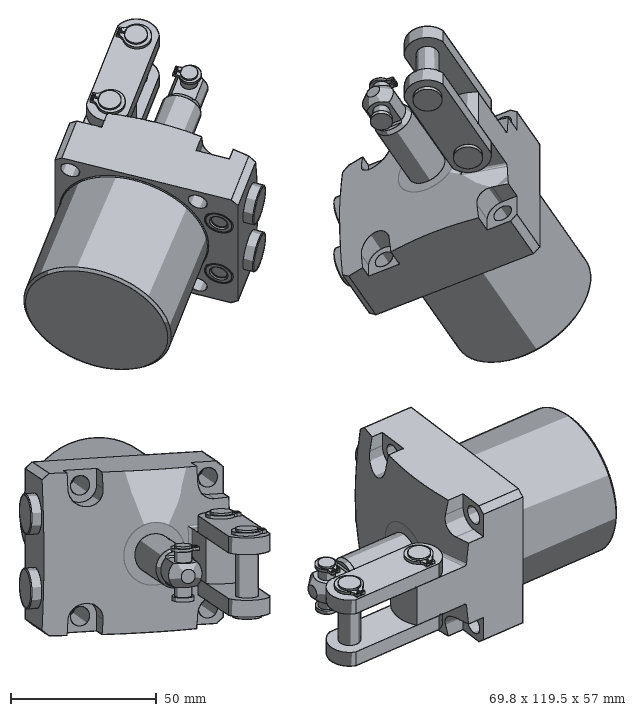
import cadquery as cq
import math


block_height = 57.0
block_width = 66.0
block_left = -block_height / 2
block_right = block_left + block_width
corner_cut_x = 2.5
corner_cut_z = 2.2
nose_top = 29.3
nose_flat_radius = 11.0
nose_angle = 15
barrel_radius = 26.5
barrel_chamfer = 1.0
barrel_root_chamfer = 0.4

bolt_offset = 23.0
bolt_hole_diameter = 6.8
spot_face_radius = 6.0
spot_face_level = 17.0

plug_radius = 7.0
plug_length = 3.8
plug_chamfer = 0.4
plug_y = 12.4
plug_z = 13.0

port_x = 30.5
port_z = 14.0
port_radius = 5.1
port_depth = 0.8
seal_bore_radius = 2.9
seal_chamfer = 0.5

ear_thickness = 16.0
ear_end = 47.8
ear_end_rise = 2.2
ear_root_fillet = 1.0
root_zone_margin = 0.1
link_x = -21.0
link_width = 2 * (link_x - block_left)
link_end_radius = 8.0
plate_thickness = 5.9
plate_outer = ear_thickness / 2 + plate_thickness
lower_pin_y = 39.0
pin_spacing = 30.0
upper_pin_y = lower_pin_y + pin_spacing
link_pin_radius = 4.0
link_head_radius = 5.0

overall_length = 119.5
barrel_length = overall_length - (upper_pin_y + link_end_radius)

rod_radius = 7.0
rod_shoulder = 54.1
neck_radius = 6.0
neck_start = 56.3
rod_tip = 69.0
tip_chamfer = 3.5
flat_half_thickness = 4.2
flat_start = 55.7
flat_root_chamfer = 0.6
rod_pin_y = 62.9
rod_pin_radius = 3.0
rod_head_radius = 3.8
rod_pin_grip = ear_thickness / 2

head_thickness = 1.4
pin_overhang = 1.8
clip_thickness = 1.1
clip_gap = 0.6
clip_neck_angle = 30
lug_reach = 1.9
lug_root_gap = 0.5
clip_offset = 0.4
lug_half_width = 1.8
lug_hole_diameter = 0.7


def along_y(start):
    """Work plane facing +Y at the given Y, with local x = X and local y = -Z."""
    return cq.Workplane("XZ", origin=(0, start, 0)).transformed(rotate=(180, 0, 0))


def along_z(start):
    return cq.Workplane("XY", origin=(0, 0, start))


def box(x_range, y_range, z_range):
    sizes = [end - start for start, end in (x_range, y_range, z_range)]
    corner = (x_range[0], y_range[0], z_range[0])
    return cq.Workplane("XY").box(*sizes, centered=False).translate(corner)


def turned_about_y(profile):
    """Solid of revolution about the Y axis from (radius, y) points."""
    return cq.Workplane("XY").polyline(profile).close().revolve(360, (0, 0), (0, 1))


def flange_block():
    half = block_height / 2
    outline = [
        (block_left, -half + corner_cut_z),
        (block_left + corner_cut_x, -half),
        (block_right - corner_cut_x, -half),
        (block_right, -half + corner_cut_z),
        (block_right, half - corner_cut_z),
        (block_right - corner_cut_x, half),
        (block_left + corner_cut_x, half),
        (block_left, half - corner_cut_z),
    ]
    return along_y(0).polyline(outline).close().extrude(nose_top)


def nose_cone():
    base_radius = nose_flat_radius + nose_top / math.tan(math.radians(nose_angle))
    return turned_about_y([(0, 0), (base_radius, 0), (nose_flat_radius, nose_top), (0, nose_top)])


def ear():
    right = block_left + link_width
    shoulder = ear_end - ear_end_rise
    outline = along_z(-ear_thickness / 2).moveTo(block_left, 0).lineTo(right, 0).lineTo(right, shoulder)
    outline = outline.threePointArc((link_x, ear_end), (block_left, shoulder)).close()
    return outline.extrude(ear_thickness)


def bolt_pattern(start):
    spacing = 2 * bolt_offset
    return along_y(start).rect(spacing, spacing, forConstruction=True).vertices()


def spot_faces():
    """Cutters around the bolt holes: all run out in Z, the two at the left corners also in X."""
    inner = bolt_offset - spot_face_radius
    outer = bolt_offset + spot_face_radius
    edge = block_height / 2
    levels = (spot_face_level, nose_top)
    cutters = bolt_pattern(spot_face_level).circle(spot_face_radius).extrude(nose_top - spot_face_level)
    for side in (-1, 1):
        to_z_edge = sorted((side * bolt_offset, side * edge))
        from_inner_to_z_edge = sorted((side * inner, side * edge))
        cutters = cutters.union(box((inner, outer), levels, to_z_edge))
        cutters = cutters.union(box((block_left, -inner), levels, to_z_edge))
        cutters = cutters.union(box((block_left, -bolt_offset), levels, from_inner_to_z_edge))
    return cutters


def fillet_ear_root(body):
    """Round the corner where the ear rises out of the nose cone."""
    half = ear_thickness / 2
    right = block_left + link_width
    root_zone = cq.selectors.BoxSelector(
        (block_left - root_zone_margin, spot_face_level, -half - root_zone_margin),
        (right + root_zone_margin, nose_top + root_zone_margin, half + root_zone_margin),
    )
    return body.edges(root_zone).fillet(ear_root_fillet)


def barrel():
    return turned_about_y([
        (0, 0),
        (barrel_radius + barrel_root_chamfer, 0),
        (barrel_radius, -barrel_root_chamfer),
        (barrel_radius, -barrel_length + barrel_chamfer),
        (barrel_radius - barrel_chamfer, -barrel_length),
        (0, -barrel_length),
    ])


def plugs():
    plane = cq.Workplane("YZ", origin=(block_right, 0, 0))
    studs = plane.pushPoints([(plug_y, -plug_z), (plug_y, plug_z)]).circle(plug_radius).extrude(plug_length)
    return studs.faces(">X").edges().chamfer(plug_chamfer)


def port_centres():
    return along_y(0).pushPoints([(port_x, -port_z), (port_x, port_z)])


def make_housing():
    body = fillet_ear_root(flange_block().intersect(nose_cone()).union(ear()))
    body = body.cut(spot_faces())
    body = body.cut(bolt_pattern(0).circle(bolt_hole_diameter / 2).extrude(nose_top))
    body = body.union(barrel()).union(plugs())
    body = body.cut(port_centres().circle(port_radius).extrude(port_depth))
    pin_hole = along_z(-ear_thickness / 2).center(link_x, lower_pin_y)
    return body.cut(pin_hole.circle(link_pin_radius).extrude(ear_thickness))


def make_seal_rings():
    rings = port_centres().circle(port_radius).extrude(port_depth)
    rings = rings.cut(port_centres().circle(seal_bore_radius).extrude(port_depth))
    return rings.faces("<Y").edges().chamfer(seal_chamfer)


def clip(outer_radius):
    """Retaining clip standing on Z = 0 around the Z axis, with its gap and two drilled lugs toward -X."""
    lug_root = -outer_radius - lug_root_gap
    lug_end = -outer_radius - lug_reach
    neck_x = -outer_radius * math.cos(math.radians(clip_neck_angle))
    neck_y = outer_radius * math.sin(math.radians(clip_neck_angle))
    lug_outline = [
        (0, -neck_y),
        (0, neck_y),
        (neck_x, neck_y),
        (lug_root, lug_half_width),
        (lug_end, lug_half_width),
        (lug_end, -lug_half_width),
        (lug_root, -lug_half_width),
        (neck_x, -neck_y),
    ]
    ring = along_z(0).circle(outer_radius).extrude(clip_thickness)
    lugs = along_z(0).polyline(lug_outline).close().extrude(clip_thickness)
    gap = box((lug_end, 0), (-clip_gap / 2, clip_gap / 2), (0, clip_thickness))
    hole_x = (lug_root + lug_end) / 2
    holes = along_z(0).pushPoints([(hole_x, -lug_half_width / 2), (hole_x, lug_half_width / 2)])
    holes = holes.circle(lug_hole_diameter / 2).extrude(clip_thickness)
    return ring.union(lugs).cut(gap).cut(holes)


def headed_pin(radius, head_radius, grip):
    """Pin along Z: head below -grip, retaining clip above +grip."""
    shank = along_z(-grip).circle(radius).extrude(2 * grip + pin_overhang)
    head = along_z(-grip - head_thickness).circle(head_radius).extrude(head_thickness)
    return shank.union(head).union(clip(head_radius).translate((clip_offset, 0, grip)))


def link_plate(start):
    """Plate with rounded ends, trimmed to the link width, standing on the given Z."""
    middle = (lower_pin_y + upper_pin_y) / 2
    length = pin_spacing + 2 * link_end_radius
    plane = along_z(start).center(link_x, middle)
    plate = plane.slot2D(length, 2 * link_end_radius, 90).extrude(plate_thickness)
    return plate.intersect(plane.rect(link_width, length).extrude(plate_thickness))


def make_link():
    link = link_plate(ear_thickness / 2).union(link_plate(-plate_outer))
    for y in (lower_pin_y, upper_pin_y):
        pin = headed_pin(link_pin_radius, link_head_radius, plate_outer)
        link = link.union(pin.translate((link_x, y, 0)))
    return link


def make_rod():
    rod = turned_about_y([
        (0, nose_top),
        (rod_radius, nose_top),
        (rod_radius, rod_shoulder),
        (neck_radius, neck_start),
        (neck_radius, rod_tip - tip_chamfer),
        (neck_radius - tip_chamfer, rod_tip),
        (0, rod_tip),
    ])
    for side in (-1, 1):
        flat = cq.Workplane("YZ").polyline([
            (flat_start, side * (flat_half_thickness + flat_root_chamfer)),
            (flat_start + flat_root_chamfer, side * flat_half_thickness),
            (rod_tip, side * flat_half_thickness),
            (rod_tip, side * rod_radius),
            (flat_start, side * rod_radius),
        ]).close().extrude(rod_radius, both=True)
        rod = rod.cut(flat)
    pin = headed_pin(rod_pin_radius, rod_head_radius, rod_pin_grip)
    return rod.union(pin.translate((0, rod_pin_y, 0)))


housing = make_housing()
seal_rings = make_seal_rings()
link = make_link()
rod = make_rod()

result = cq.Compound.makeCompound([
    housing.val(),
    *seal_rings.vals(),
    link.val(),
    rod.val(),
])